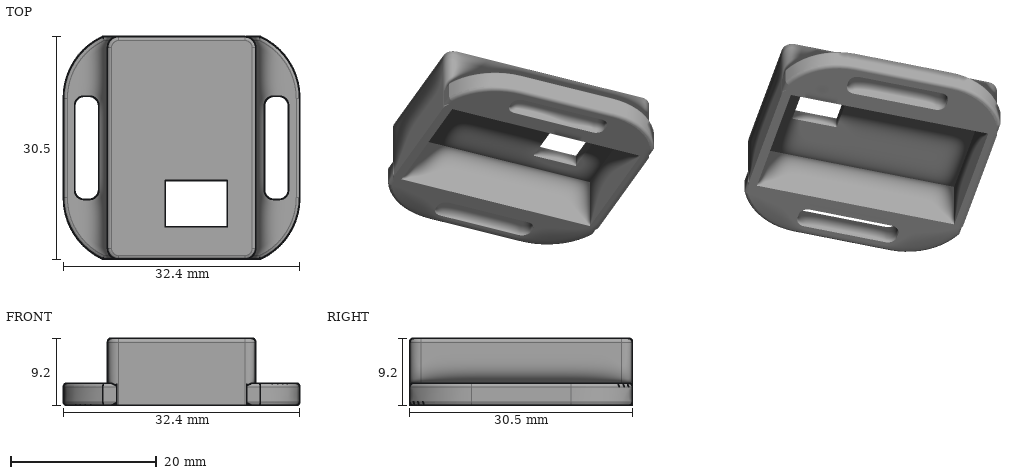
import cadquery as cq
import math

overall_length = 32.4
overall_width = 30.51
overall_height = 9.2
edge_radius = 0.52

housing_length = 20.3
corner_radius = 1.5
wall = 1.25
roof = 1.75
cavity_length = housing_length - 2 * wall
cavity_width = overall_width - 2 * wall

window_length = 8.45
window_width = 6.3
window_x = 2.0
window_y = -7.65

lug_height = 3.05
lug_inner_x = cavity_length / 2
lug_outer_x = overall_length / 2
lug_arc_radius = 9.3
lug_straight_half = 6.8

slot_length = 14.1
slot_width = 3.25
slot_corner_radius = 1.25
slot_x = 13.0

pin_radius = 0.82
pin_length = wall
pin_y = -0.65
pin_z = 0.85


def make_lug_plate():
    """Solid +X lug plate: straight outer edge, rounded towards the housing, edges filleted."""
    half_width = overall_width / 2
    arc_centre_x = lug_outer_x - lug_arc_radius
    end_angle = math.asin((half_width - lug_straight_half) / lug_arc_radius)
    arc_end_x = arc_centre_x + lug_arc_radius * math.cos(end_angle)
    arc_mid_x = arc_centre_x + lug_arc_radius * math.cos(end_angle / 2)
    arc_mid_y = lug_straight_half + lug_arc_radius * math.sin(end_angle / 2)
    return (
        cq.Workplane("XY")
        .moveTo(lug_inner_x, -half_width)
        .lineTo(arc_end_x, -half_width)
        .threePointArc((arc_mid_x, -arc_mid_y), (lug_outer_x, -lug_straight_half))
        .lineTo(lug_outer_x, lug_straight_half)
        .threePointArc((arc_mid_x, arc_mid_y), (arc_end_x, half_width))
        .lineTo(lug_inner_x, half_width)
        .close()
        .extrude(lug_height)
        .faces("<Z or >Z")
        .edges("not <X")
        .fillet(edge_radius)
    )


def make_lug():
    """+X lug plate with its strap slot."""
    slot = (
        cq.Workplane("XY")
        .center(slot_x, 0)
        .rect(slot_width, slot_length)
        .extrude(lug_height)
        .edges("|Z")
        .fillet(slot_corner_radius)
    )
    return make_lug_plate().cut(slot)


def make_pin():
    """Short round pin along X, as long as the wall is thick."""
    return (
        cq.Workplane("YZ", origin=(lug_inner_x, pin_y, pin_z))
        .circle(pin_radius)
        .extrude(pin_length)
    )


def make_housing(lugs):
    """Rounded box with cavity and window, notched where the lugs pass through its walls."""
    shell = (
        cq.Workplane("XY")
        .rect(housing_length, overall_width)
        .extrude(overall_height)
        .edges("|Z")
        .fillet(corner_radius)
        .faces(">Z")
        .edges()
        .fillet(edge_radius)
    )
    cavity = (
        cq.Workplane("XY")
        .rect(cavity_length, cavity_width)
        .extrude(overall_height - roof)
    )
    window = (
        cq.Workplane("XY")
        .center(window_x, window_y)
        .rect(window_length, window_width)
        .extrude(overall_height)
    )
    housing = shell.cut(cavity).cut(window)
    for lug in lugs:
        housing = housing.cut(lug)
    return housing


right_lug = make_lug()
left_lug = right_lug.mirror("YZ")
housing = make_housing([left_lug, right_lug])

pin = make_pin()
drilled_right_lug = right_lug.cut(pin)

bodies = [housing, left_lug, drilled_right_lug, pin]
result = cq.Compound.makeCompound([body.solids().val() for body in bodies])